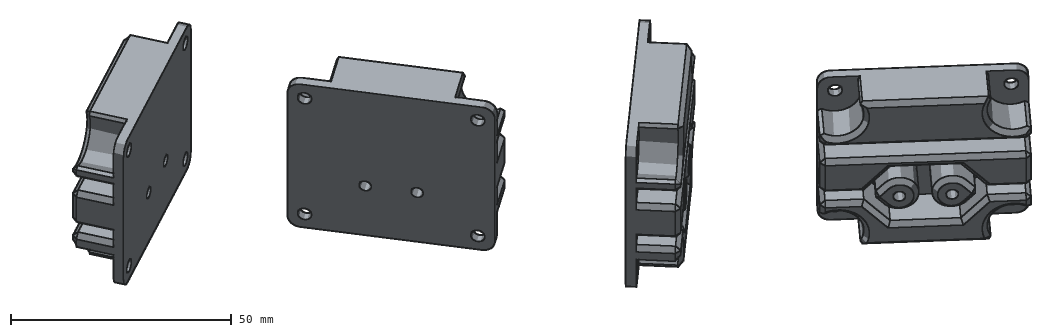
import cadquery as cq
import math

depth = 12.5
width = 48.0
height = 42.0
half_width = width / 2
half_height = height / 2

plate_thickness = 2.4
plate_corner_radius = 3.0
hole_inset = 4.0
mount_hole_diameter = 3.2
corner_cut_radius = 6.0
hole_y = half_width - hole_inset
hole_z = half_height - hole_inset
corner_points = [(y, z) for y in (-hole_y, hole_y) for z in (-hole_z, hole_z)]

chamfer = 1.2
channel_offset = 6.5
groove_width = 4.0
groove_top = channel_offset + groove_width / 2
groove_bottom = channel_offset - groove_width / 2

channel_half = 1.4
chamber_half = 7.95
chamber_start_y = 14.0
chamber_flat_y = 8.0
wall_angle = math.atan2(chamber_half - channel_half, chamber_start_y - chamber_flat_y)

boss_y = 6.0
boss_radius = 4.5
boss_hole_diameter = 2.8


def raise_profile(sketch):
    """Extrude an outline in the YZ plane from the plate's back to the full depth."""
    return sketch.extrude(-depth)


def above_plate(body):
    """Keep only the part of a body that stands on the front of the plate."""
    keep = cq.Workplane("YZ").rect(width, height).extrude(plate_thickness - depth)
    return body.intersect(keep.translate((-plate_thickness, 0, 0)))


def bevel(body, is_corner):
    """Chamfer the front rim and the X-parallel edges accepted by is_corner(y, z)."""
    corners = [edge for edge in body.edges("|X").vals() if is_corner(edge.Center().y, edge.Center().z)]
    rim = body.faces("<X").edges().vals()
    return body.newObject(rim + corners).chamfer(chamfer)


def on_outline(y, z):
    """True for a point on the rectangular outline of the part."""
    tolerance = 0.0005
    return abs(y) > half_width - tolerance or abs(z) > half_height - tolerance


def lower_channel_edge(side):
    """Points along one wall of the lower channel, from -Y to +Y; side is +1 above, -1 below."""
    end_z = -channel_offset + side * channel_half
    flat_z = -channel_offset + side * chamber_half
    return [
        (-half_width, end_z),
        (-chamber_start_y, end_z),
        (-chamber_flat_y, flat_z),
        (chamber_flat_y, flat_z),
        (chamber_start_y, end_z),
        (half_width, end_z),
    ]


def block(lower_edge, upper_edge):
    """Raised block between two edges, cleared around the corner holes and chamfered."""
    outline = cq.Workplane("YZ").polyline(lower_edge + upper_edge[::-1]).close()
    clearance = cq.Workplane("YZ").pushPoints(corner_points).circle(corner_cut_radius)
    body = above_plate(raise_profile(outline).cut(raise_profile(clearance)))
    return bevel(body, on_outline)


def straight_edge(z):
    return [(-half_width, z), (half_width, z)]


def boss(side):
    """Round boss drawn out to a blunt tip, its flats parallel to the chamber walls."""
    tip_y = side * (boss_y + boss_radius / math.sin(wall_angle))
    tangent_y = side * (boss_y + boss_radius * math.sin(wall_angle))
    tangent_dz = boss_radius * math.cos(wall_angle)
    outline = (
        cq.Workplane("YZ")
        .moveTo(tip_y, -channel_offset)
        .lineTo(tangent_y, -channel_offset + tangent_dz)
        .threePointArc(
            (side * (boss_y - boss_radius), -channel_offset),
            (tangent_y, -channel_offset - tangent_dz),
        )
        .close()
    )
    return bevel(
        above_plate(raise_profile(outline)),
        lambda y, z: abs(y) > (abs(tip_y) + abs(tangent_y)) / 2,
    )


plate = (
    cq.Workplane("YZ")
    .rect(width, height)
    .extrude(-plate_thickness)
    .edges("|X")
    .fillet(plate_corner_radius)
)

upper_block = block(straight_edge(groove_top), straight_edge(half_height))
middle_bar = block(lower_channel_edge(1), straight_edge(groove_bottom))
lower_block = block(straight_edge(-half_height), lower_channel_edge(-1))

result = plate.union(upper_block).union(middle_bar).union(lower_block)
for side in (-1, 1):
    result = result.union(boss(side))

mount_holes = cq.Workplane("YZ").pushPoints(corner_points).circle(mount_hole_diameter / 2)
boss_points = [(-boss_y, -channel_offset), (boss_y, -channel_offset)]
boss_holes = cq.Workplane("YZ").pushPoints(boss_points).circle(boss_hole_diameter / 2)
result = result.cut(raise_profile(mount_holes)).cut(raise_profile(boss_holes))